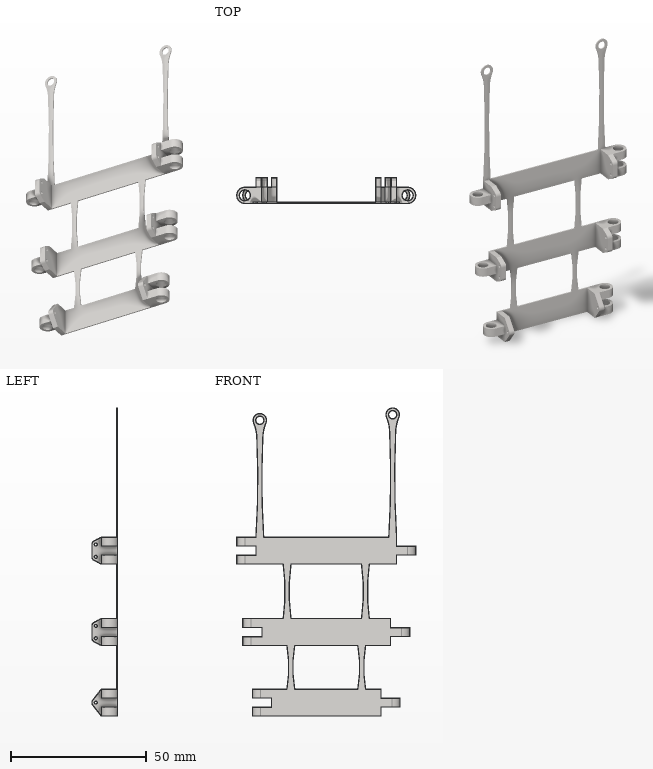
import cadquery as cq
import math

LENGTH = 66.0
DEPTH = 9.5
HEIGHT = 113.5

BAR_HEIGHT = 10.0
SHEET = 0.5
EAR_THICKNESS = 2.0
EAR_CORNER_RADIUS = 1.5
EAR_HOLE = 1.0
LUG_REACH = 7.0
LUG_WIDTH = 6.0
LUG_HOLE = 4.0
LUG_HEIGHT = BAR_HEIGHT / 3
BAR_MIDDLE = BAR_HEIGHT / 2

LOWER_GAP = 16.0
UPPER_GAP = 20.0
BOTTOM_BAR_Z = 0.0
MIDDLE_BAR_Z = BOTTOM_BAR_Z + BAR_HEIGHT + LOWER_GAP
TOP_BAR_Z = MIDDLE_BAR_Z + BAR_HEIGHT + UPPER_GAP
BOTTOM_HALF_LENGTH = 27.2
MIDDLE_HALF_LENGTH = 30.8
TOP_HALF_LENGTH = LENGTH / 2
SINGLE_HOLE = 0.0
HOLE_PAIR = 2.3

STRAP_WIDTH = 3.0
WAIST_WIDTH = 1.6
LOWER_STRAP_X = 13.0
UPPER_STRAP_X = 14.4
LONG_STRAP_X = TOP_HALF_LENGTH - LUG_REACH - STRAP_WIDTH / 2
EYE_DIAMETER = 5.0
EYE_HOLE = 3.0
EYE_DROP = 2.0
NECK_WIDTH = 2.3
NECK_DROP = 6.8


def box(x_min, x_max, depth, z_min, height):
    """Block with its front on Y = 0."""
    return cq.Workplane("XY").box(x_max - x_min, depth, height, centered=False).translate((x_min, 0, z_min))


def ear(x_min, z_middle, hole_height):
    """Upright ear whose rear tapers to rounded corners concentric with its holes."""
    y_hole = DEPTH - EAR_CORNER_RADIUS
    run = LUG_WIDTH - y_hole
    rise = BAR_MIDDLE - hole_height
    tangent_angle = math.atan2(rise, run) - math.acos(EAR_CORNER_RADIUS / math.hypot(run, rise))

    def corner_point(angle, side):
        y = y_hole + EAR_CORNER_RADIUS * math.cos(angle)
        z = hole_height + EAR_CORNER_RADIUS * math.sin(angle)
        return (y, side * z)

    outline = (
        cq.Workplane("YZ", origin=(x_min, 0, z_middle))
        .moveTo(0, -BAR_MIDDLE)
        .lineTo(LUG_WIDTH, -BAR_MIDDLE)
        .lineTo(*corner_point(tangent_angle, -1))
        .threePointArc(corner_point(tangent_angle / 2, -1), (DEPTH, -hole_height))
    )
    if hole_height > 0:
        outline = outline.lineTo(DEPTH, hole_height)
    solid = (
        outline.threePointArc(corner_point(tangent_angle / 2, 1), corner_point(tangent_angle, 1))
        .lineTo(LUG_WIDTH, BAR_MIDDLE)
        .lineTo(0, BAR_MIDDLE)
        .close()
        .extrude(EAR_THICKNESS)
    )
    for z in {hole_height, -hole_height}:
        hole = cq.Workplane("YZ", origin=(x_min, y_hole, z_middle + z)).circle(EAR_HOLE / 2)
        solid = solid.cut(hole.extrude(EAR_THICKNESS))
    return solid


def lug(x_root, side, z_min):
    """Round-ended hinge lug pointing outwards from an ear."""
    radius = LUG_WIDTH / 2
    x_tip = x_root + side * LUG_REACH
    x_pin = x_tip - side * radius
    return (
        cq.Workplane("XY", origin=(0, 0, z_min))
        .moveTo(x_root, 0)
        .lineTo(x_pin, 0)
        .threePointArc((x_tip, radius), (x_pin, LUG_WIDTH))
        .lineTo(x_root, LUG_WIDTH)
        .close()
        .moveTo(x_pin, radius)
        .circle(LUG_HOLE / 2)
        .extrude(LUG_HEIGHT)
    )


def bar(z_min, half_length, hole_height):
    """Plate with two ears, a forked lug on the left and a single lug on the right."""
    x_end = half_length - LUG_REACH
    z_middle = z_min + BAR_MIDDLE
    return (
        box(-x_end, x_end, SHEET, z_min, BAR_HEIGHT)
        .union(ear(-x_end, z_middle, hole_height))
        .union(ear(x_end - EAR_THICKNESS, z_middle, hole_height))
        .union(lug(-x_end, -1, z_min))
        .union(lug(-x_end, -1, z_min + 2 * LUG_HEIGHT))
        .union(lug(x_end, 1, z_min + LUG_HEIGHT))
    )


def sheet_sketch(x):
    """Sketch plane on the front face; extruding by -SHEET goes into the sheet."""
    return cq.Workplane("XZ", origin=(x, 0, 0))


def strap(x, z_min, z_max):
    """Strap between two bars, narrowed to a waist by an arc on each side."""
    end = STRAP_WIDTH / 2
    waist = WAIST_WIDTH / 2
    z_waist = (z_min + z_max) / 2
    return (
        sheet_sketch(x)
        .moveTo(-end, z_min)
        .lineTo(end, z_min)
        .threePointArc((waist, z_waist), (end, z_max))
        .lineTo(-end, z_max)
        .threePointArc((-waist, z_waist), (-end, z_min))
        .close()
        .extrude(-SHEET)
    )


def eye_strap(x, z_min, z_eye):
    """Long waisted strap whose neck flares into a ring-shaped eye."""
    end = STRAP_WIDTH / 2
    waist = WAIST_WIDTH / 2
    neck = NECK_WIDTH / 2
    eye_radius = EYE_DIAMETER / 2
    z_neck = z_eye - NECK_DROP
    z_waist = (z_min + z_eye) / 2

    flare_radius = (NECK_DROP**2 + neck**2 - eye_radius**2) / (2 * (eye_radius - neck))
    flare_angle = math.atan2(NECK_DROP, neck + flare_radius)
    x_touch = eye_radius * math.cos(flare_angle)
    z_touch = z_eye - eye_radius * math.sin(flare_angle)
    x_flare = neck + flare_radius * (1 - math.cos(flare_angle / 2))
    z_flare = z_neck + flare_radius * math.sin(flare_angle / 2)

    blade = (
        sheet_sketch(x)
        .moveTo(-end, z_min)
        .lineTo(end, z_min)
        .threePointArc((waist, z_waist), (neck, z_neck))
        .threePointArc((x_flare, z_flare), (x_touch, z_touch))
        .lineTo(-x_touch, z_touch)
        .threePointArc((-x_flare, z_flare), (-neck, z_neck))
        .threePointArc((-waist, z_waist), (-end, z_min))
        .close()
        .extrude(-SHEET)
    )
    eye = sheet_sketch(x).center(0, z_eye).circle(eye_radius).extrude(-SHEET)
    hole = sheet_sketch(x).center(0, z_eye).circle(EYE_HOLE / 2).extrude(-SHEET)
    return blade.union(eye).cut(hole)


result = bar(BOTTOM_BAR_Z, BOTTOM_HALF_LENGTH, SINGLE_HOLE)
result = result.union(bar(MIDDLE_BAR_Z, MIDDLE_HALF_LENGTH, HOLE_PAIR))
result = result.union(bar(TOP_BAR_Z, TOP_HALF_LENGTH, HOLE_PAIR))

for strap_side in (-1, 1):
    result = result.union(strap(strap_side * LOWER_STRAP_X, BOTTOM_BAR_Z + BAR_HEIGHT, MIDDLE_BAR_Z))
    result = result.union(strap(strap_side * UPPER_STRAP_X, MIDDLE_BAR_Z + BAR_HEIGHT, TOP_BAR_Z))

top_edge = TOP_BAR_Z + BAR_HEIGHT
right_eye_z = HEIGHT - EYE_DIAMETER / 2
result = result.union(eye_strap(LONG_STRAP_X, top_edge, right_eye_z))
result = result.union(eye_strap(-LONG_STRAP_X, top_edge, right_eye_z - EYE_DROP))